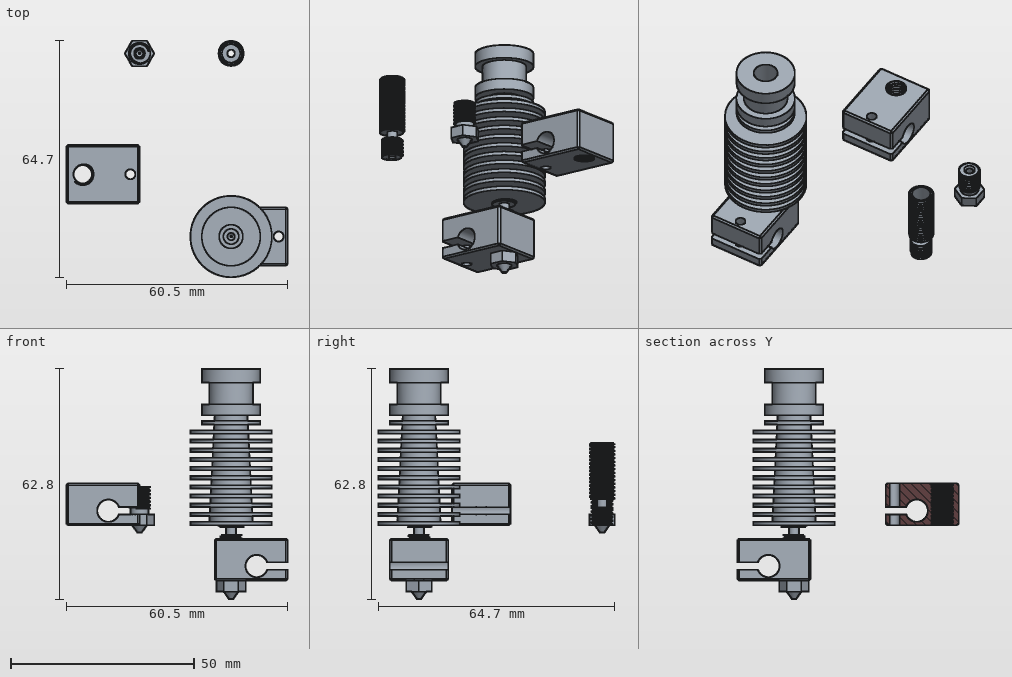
import cadquery as cq
import math

collar_diameter = 16.0
groove_diameter = 12.0
top_collar_height = 3.7
groove_height = 6.0
lower_collar_height = 3.0
fin_gap = 1.5
fin_thickness = 1.0
fin_pitch = fin_gap + fin_thickness
fin_diameter = 22.3
fin_count = 11
core_top_diameter = 9.0
core_bottom_diameter = 12.0
coupling_bore_diameter = 6.5
coupling_bore_depth = 13.0
tube_bore_diameter = 4.2

fin_stack_height = fin_count * fin_pitch - fin_gap
small_fin_base = fin_stack_height + fin_gap
lower_collar_base = small_fin_base + fin_pitch
groove_base = lower_collar_base + lower_collar_height
top_collar_base = groove_base + groove_height
heat_sink_height = top_collar_base + top_collar_height

thread_pitch = 1.0
thread_depth = 0.43
thread_crest_width = thread_pitch / 8
thread_flank_angle = 30.0
thread_clearance = 0.05
root_overlap = 0.05
small_thread_root_diameter = 5.0
large_thread_root_diameter = 6.0
large_thread_diameter = large_thread_root_diameter + 2 * thread_depth

break_lower_thread_length = 5.0
break_neck_diameter = 2.8
break_neck_length = 2.1
break_upper_thread_length = 15.4
break_upper_thread_base = break_lower_thread_length + break_neck_length
break_length = break_upper_thread_base + break_upper_thread_length
break_tube_bore_diameter = 5.0
break_tube_bore_depth = 14.0
break_lead_in = 0.4
filament_bore_diameter = 2.0

hexagon_across_flats = 7.0
hexagon_height = 3.0
tip_length = 2.0
tip_top_diameter = 4.0
tip_flat_diameter = 1.2
orifice_diameter = 0.4
orifice_length = 1.0
nozzle_shank_diameter = 5.0
nozzle_shank_length = 1.5
nozzle_thread_length = 6.0
nozzle_thread_base = hexagon_height + nozzle_shank_length
nozzle_top = nozzle_thread_base + nozzle_thread_length
nozzle_mouth_diameter = 3.0
drill_half_angle = 45.0

block_length = 20.0
block_width = 16.0
block_height = 11.5
block_chamfer = 0.5
nozzle_to_block_end = 4.5
heater_hole_diameter = 6.04
heater_hole_x = 7.0
heater_hole_z = 4.0
clamp_slot_width = 2.0
clamp_hole_diameter = 2.67
clamp_hole_x = 13.0

block_gap = 3.62
assembled_block_z = -block_gap - block_height
assembled_nozzle_z = assembled_block_z - hexagon_height
assembled_break_z = assembled_nozzle_z + nozzle_top
loose_block_position = (-40.5, 17.0, 0.0)
loose_nozzle_position = (-25.0, 50.0, 0.0)
loose_break_position = (0.0, 50.0, 0.0)


def cylinder(diameter, base, height):
    return cq.Workplane("XY").workplane(offset=base).circle(diameter / 2).extrude(height)


def cone(base_diameter, top_diameter, base, height):
    """Cone frustum standing on Z = base."""
    outline = [
        (0, base),
        (base_diameter / 2, base),
        (top_diameter / 2, base + height),
        (0, base + height),
    ]
    return cq.Workplane("XZ").polyline(outline).close().revolve(360, (0, 0, 0), (0, 1, 0))


def thread_ridge(root_diameter, length, clearance):
    """Helical ridge around Z, overrunning the span Z = 0 to length by one turn at each end."""
    crest_radius = root_diameter / 2 + thread_depth + clearance
    base_radius = root_diameter / 2 - root_overlap
    crest_half = thread_crest_width / 2 + clearance
    base_half = crest_half + (crest_radius - base_radius) * math.tan(math.radians(thread_flank_angle))
    helix = cq.Wire.makeHelix(thread_pitch, length + 2 * thread_pitch, base_radius)
    ridge = (
        cq.Workplane("XZ")
        .moveTo(base_radius, -base_half)
        .lineTo(crest_radius, -crest_half)
        .lineTo(crest_radius, crest_half)
        .lineTo(base_radius, base_half)
        .close()
        .sweep(cq.Workplane(obj=helix), isFrenet=True)
    )
    return ridge.translate((0, 0, -thread_pitch))


def threaded_rod(root_diameter, length, clearance=0.0):
    """Rod with a helical thread, both ends cut square, standing on Z = 0."""
    overrun = 2 * thread_pitch
    core = cylinder(root_diameter, -overrun, length + 2 * overrun)
    span_width = 2 * root_diameter
    span = cq.Workplane("XY").box(span_width, span_width, length, centered=(True, True, False))
    return thread_ridge(root_diameter, length, clearance).union(core).intersect(span)


def make_heat_break():
    lower_thread = threaded_rod(small_thread_root_diameter, break_lower_thread_length)
    neck = cylinder(break_neck_diameter, break_lower_thread_length, break_neck_length)
    upper_thread_length = break_upper_thread_length - break_lead_in
    upper_thread = threaded_rod(large_thread_root_diameter, upper_thread_length)
    lead_in = cone(
        large_thread_diameter, large_thread_root_diameter, break_length - break_lead_in, break_lead_in
    )
    body = lower_thread.union(neck).union(upper_thread.translate((0, 0, break_upper_thread_base)))
    body = body.union(lead_in)
    filament_bore = cylinder(filament_bore_diameter, 0, break_length)
    tube_bore = cylinder(
        break_tube_bore_diameter, break_length - break_tube_bore_depth, break_tube_bore_depth
    )
    return body.cut(filament_bore).cut(tube_bore)


def make_nozzle():
    hexagon_across_corners = hexagon_across_flats / math.cos(math.pi / 6)
    hexagon = cq.Workplane("XY").polygon(6, hexagon_across_corners).extrude(hexagon_height)
    tip = cone(tip_flat_diameter, tip_top_diameter, -tip_length, tip_length)
    shank = cylinder(nozzle_shank_diameter, hexagon_height, nozzle_shank_length)
    thread = threaded_rod(small_thread_root_diameter, nozzle_thread_length)
    body = hexagon.union(tip).union(shank).union(thread.translate((0, 0, nozzle_thread_base)))

    orifice = cylinder(orifice_diameter, -tip_length, orifice_length)
    drill_point_base = orifice_length - tip_length
    drill_point_height = (filament_bore_diameter - orifice_diameter) / 2 / math.tan(
        math.radians(drill_half_angle)
    )
    drill_point = cone(orifice_diameter, filament_bore_diameter, drill_point_base, drill_point_height)
    bore_base = drill_point_base + drill_point_height
    bore = cylinder(filament_bore_diameter, bore_base, nozzle_top - bore_base)
    mouth_depth = (nozzle_mouth_diameter - filament_bore_diameter) / 2
    mouth = cone(filament_bore_diameter, nozzle_mouth_diameter, nozzle_top - mouth_depth, mouth_depth)
    return body.cut(orifice).cut(drill_point).cut(bore).cut(mouth)


def make_heater_block():
    block = (
        cq.Workplane("XY")
        .box(block_length, block_width, block_height, centered=(False, True, False))
        .edges()
        .chamfer(block_chamfer)
        .translate((-nozzle_to_block_end, 0, 0))
    )
    heater_hole = (
        cq.Workplane("XZ")
        .center(heater_hole_x, heater_hole_z)
        .circle(heater_hole_diameter / 2)
        .extrude(block_width / 2, both=True)
    )
    slot_length = block_length - nozzle_to_block_end - heater_hole_x
    clamp_slot = (
        cq.Workplane("XY")
        .box(slot_length, block_width, clamp_slot_width, centered=(False, True, True))
        .translate((heater_hole_x, 0, heater_hole_z))
    )
    clamp_hole = cylinder(clamp_hole_diameter, 0, block_height).translate((clamp_hole_x, 0, 0))
    tapped_hole = threaded_rod(small_thread_root_diameter, block_height, thread_clearance)
    tapping_turn = -360 * nozzle_shank_length / thread_pitch
    tapped_hole = tapped_hole.rotate((0, 0, 0), (0, 0, 1), tapping_turn)
    return block.cut(heater_hole).cut(clamp_slot).cut(clamp_hole).cut(tapped_hole)


def make_heat_sink():
    """Finned body with the heat break built into its lower end."""
    body = cone(core_bottom_diameter, core_top_diameter, 0, lower_collar_base)
    for index in range(fin_count):
        body = body.union(cylinder(fin_diameter, index * fin_pitch, fin_thickness))
    body = body.union(cylinder(collar_diameter, small_fin_base, fin_thickness))
    body = body.union(cylinder(collar_diameter, lower_collar_base, lower_collar_height))
    body = body.union(cylinder(groove_diameter, groove_base, groove_height))
    body = body.union(cylinder(collar_diameter, top_collar_base, top_collar_height))
    break_top = assembled_break_z + break_length
    body = body.cut(cylinder(large_thread_root_diameter, 0, break_top))
    body = body.cut(cylinder(tube_bore_diameter, 0, heat_sink_height))
    coupling_bore_base = heat_sink_height - coupling_bore_depth
    body = body.cut(cylinder(coupling_bore_diameter, coupling_bore_base, coupling_bore_depth))
    return body.union(make_heat_break().translate((0, 0, assembled_break_z)))


heat_sink = make_heat_sink()
loose_heat_break = make_heat_break().translate(loose_break_position)
nozzles = [
    make_nozzle().translate(position)
    for position in [(0, 0, assembled_nozzle_z), loose_nozzle_position]
]
heater_blocks = [
    make_heater_block().translate(position)
    for position in [(0, 0, assembled_block_z), loose_block_position]
]

result = cq.Compound.makeCompound(
    [heat_sink.val(), loose_heat_break.val()]
    + [nozzle.val() for nozzle in nozzles]
    + [block.val() for block in heater_blocks]
)